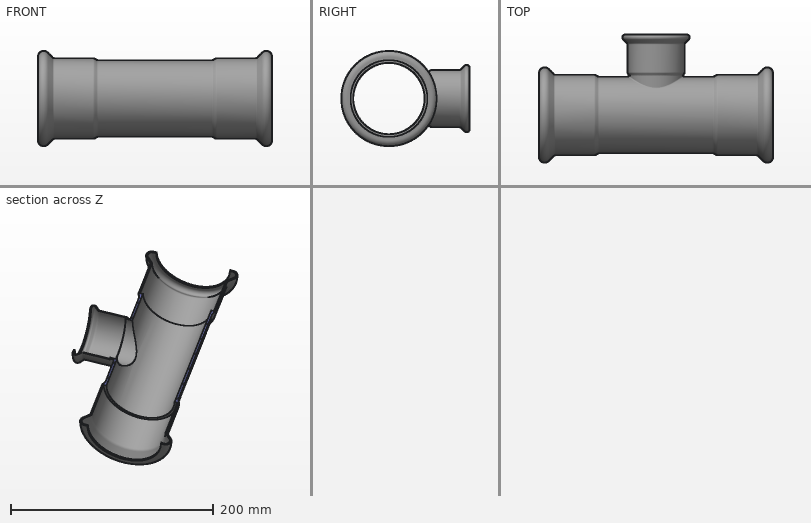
import cadquery as cq
import math


RUN = {
    "end_length": 232.0 / 2,
    "wall": 2.0,
    "bore_radius": 35.2,
    "tube_radius": 76.0 / 2,
    "socket_radius": 80.1 / 2,
    "bead_radius": 94.6 / 2,
    "bead_round": 5.8,
    "step_start": 54.7,
    "step_round": 3.0,
}
BRANCH = {
    "end_length": 80.0,
    "wall": 1.5,
    "bore_radius": 25.5,
    "tube_radius": 54.0 / 2,
    "socket_radius": 57.0 / 2,
    "bead_radius": 66.8 / 2,
    "bead_round": 3.1,
    "step_start": 37.5,
    "step_round": 2.0,
}
FLARE_ANGLE = 45.0
FLARE_ROUND = 2.0
STEP_ANGLE = 30.0

JOINT_FILLET = 1.2
JOINT_HALF_LENGTH = BRANCH["socket_radius"] + 5.0
JOINT_TOP = RUN["tube_radius"] + 3.0


def on_circle(centre, radius, angle):
    """Return a point on a circle; the angle runs from the first axis towards the second."""
    turn = math.radians(angle)
    return (centre[0] + radius * math.cos(turn), centre[1] + radius * math.sin(turn))


def add_arc(profile, centre, radius, start, end):
    """Continue a profile with an arc between two angles, led in by a line where needed."""
    profile = profile.lineTo(*on_circle(centre, radius, start))
    return profile.threePointArc(
        on_circle(centre, radius, (start + end) / 2),
        on_circle(centre, radius, end),
    )


def tangent_run(round_sum, rise, angle):
    """Return the axial distance between two opposite rounds joined by a cone tangent to both."""
    turn = math.radians(angle)
    return (round_sum - rise * math.cos(turn)) / math.sin(turn)


def bead_profile(size, inset):
    """Start a profile at the mouth: bead, flare cone and the round that leads into the socket.

    Points are (depth from the mouth, radius). The outer surface has no inset, and the cavity
    is parallel to it at an inset of one wall.
    """
    bead = size["bead_round"] - inset
    flare = FLARE_ROUND + inset
    bead_centre = (size["bead_round"], size["bead_radius"] - size["bead_round"])
    flare_radius = size["socket_radius"] - inset + flare
    flare_run = tangent_run(bead + flare, flare_radius - bead_centre[1], FLARE_ANGLE)
    flare_centre = (bead_centre[0] + flare_run, flare_radius)

    profile = cq.Workplane("XY").moveTo(inset, 0)
    profile = add_arc(profile, bead_centre, bead, 180, 90 - FLARE_ANGLE)
    return add_arc(profile, flare_centre, flare, 270 - FLARE_ANGLE, 270)


def revolve_to_end(profile, size):
    """Close a profile on the axis at the end length and revolve it about X."""
    return profile.lineTo(size["end_length"], 0).close().revolve(360, (0, 0, 0), (1, 0, 0))


def end_envelope(size):
    """Return the solid outside of an end, stepped down from the socket to the tube."""
    step_round = size["step_round"]
    shoulder_centre = (size["step_start"], size["socket_radius"] - step_round)
    heel_radius = size["tube_radius"] + step_round
    step_run = tangent_run(2 * step_round, heel_radius - shoulder_centre[1], STEP_ANGLE)
    heel_centre = (size["step_start"] + step_run, heel_radius)

    profile = bead_profile(size, 0)
    profile = add_arc(profile, shoulder_centre, step_round, 90, 90 - STEP_ANGLE)
    profile = add_arc(profile, heel_centre, step_round, 270 - STEP_ANGLE, 270)
    return revolve_to_end(profile.lineTo(size["end_length"], size["tube_radius"]), size)


def end_cavity(size):
    """Return the inside of an end: mouth, seal groove, socket, pipe stop shoulder and bore."""
    socket_bore = size["socket_radius"] - size["wall"]
    profile = bead_profile(size, size["wall"])
    profile = profile.lineTo(size["step_start"], socket_bore)
    profile = profile.lineTo(size["step_start"], size["bore_radius"])
    cavity = revolve_to_end(profile.lineTo(size["end_length"], size["bore_radius"]), size)
    mouth = cq.Workplane("YZ").circle(socket_bore).extrude(size["step_start"])
    return cavity.union(mouth)


def both_run_ends(end):
    """Move an end to the left mouth of the run and mirror it to the right one."""
    left = end.translate((-RUN["end_length"], 0, 0))
    return left.union(left.mirror("YZ"))


def branch_end(end):
    """Turn an end so that its mouth is the branch mouth on +Y."""
    return end.rotate((0, 0, 0), (0, 0, 1), -90).translate((0, BRANCH["end_length"], 0))


def tube_joint():
    """Return a stretch of run tube and branch tube with the corner between them rounded."""
    run_tube = cq.Workplane("YZ").circle(RUN["tube_radius"]).extrude(JOINT_HALF_LENGTH, both=True)
    branch_tube = cq.Workplane("XZ").circle(BRANCH["tube_radius"]).extrude(-JOINT_TOP)
    margin = (JOINT_TOP - RUN["tube_radius"]) / 2
    half_width = BRANCH["tube_radius"] + margin
    corner = cq.selectors.BoxSelector(
        (-half_width, 0, -half_width),
        (half_width, RUN["tube_radius"] + margin, half_width),
        boundingbox=True,
    )
    return run_tube.union(branch_tube).edges(corner).fillet(JOINT_FILLET)


envelope = both_run_ends(end_envelope(RUN)).union(branch_end(end_envelope(BRANCH))).union(tube_joint())
cavity = both_run_ends(end_cavity(RUN)).union(branch_end(end_cavity(BRANCH)))
result = envelope.cut(cavity)